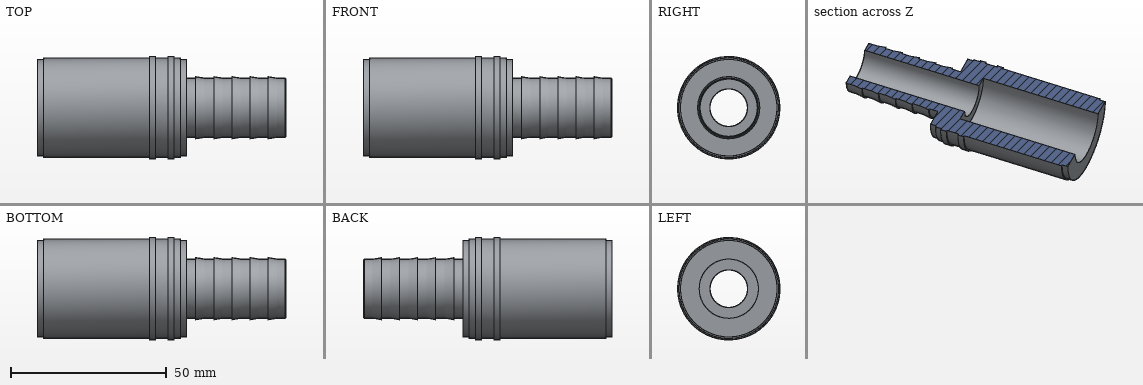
import cadquery as cq

total_length = 80.0

sleeve_length = 48.0
sleeve_diameter = 32.0
sleeve_end_diameter = 31.0
end_step_length = 2.0

ring_diameter = 33.0
ring_width = 2.0
ring_pitch = 6.0
ring_count = 2
first_ring_start = 36.0

neck_diameter = 19.0
neck_length = total_length - sleeve_length
neck_end_chamfer = 0.3
barb_diameter = 20.0
barb_count = 5
barb_length = neck_length / (2 * barb_count + 1)
barb_pitch = 2 * barb_length
first_barb_start = sleeve_length + barb_length

socket_diameter = 19.0
socket_depth = 40.0
bore_diameter = 12.0


def cylinder(start, length, diameter):
    """Cylinder on the X axis, running from start towards +X."""
    return cq.Workplane("YZ").workplane(offset=start).circle(diameter / 2).extrude(length)


def barb(start):
    """Cone frustum that falls from the barb diameter to the neck diameter towards +X."""
    outline = [
        (start, 0),
        (start, barb_diameter / 2),
        (start + barb_length, neck_diameter / 2),
        (start + barb_length, 0),
    ]
    return cq.Workplane("XY").polyline(outline).close().revolve(360, (0, 0, 0), (1, 0, 0))


sleeve = cylinder(0, sleeve_length, sleeve_end_diameter)
sleeve_middle_length = sleeve_length - 2 * end_step_length
sleeve = sleeve.union(cylinder(end_step_length, sleeve_middle_length, sleeve_diameter))

for index in range(ring_count):
    ring_start = first_ring_start + index * ring_pitch
    sleeve = sleeve.union(cylinder(ring_start, ring_width, ring_diameter))

neck = cylinder(0, total_length, neck_diameter)
neck = neck.faces(">X").chamfer(neck_end_chamfer)

for index in range(barb_count):
    neck = neck.union(barb(first_barb_start + index * barb_pitch))

socket = cylinder(0, socket_depth, socket_diameter)
bore = cylinder(0, total_length, bore_diameter)

result = sleeve.union(neck).cut(socket).cut(bore)